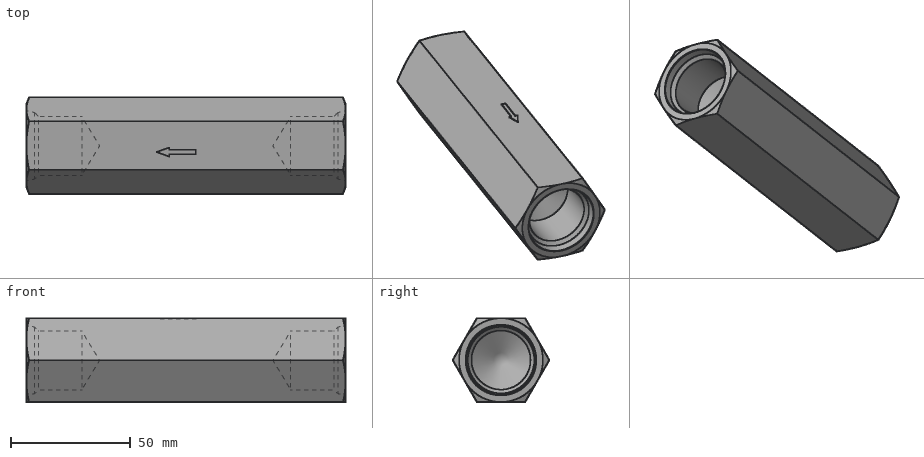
import cadquery as cq
import math

length = 133.35
across_flats = 35.05
across_corners = across_flats / math.cos(math.radians(30))

chamfer_face_diameter = across_flats
chamfer_depth = 1.1

edge_break = 0.2
seat_mouth_diameter = 29.2
seat_inner_diameter = 27.8
seat_depth = 3.3
bore_diameter = 24.69
lead_in_depth = (seat_inner_diameter - bore_diameter) / 2
bore_depth = 23.0
drill_point_angle = 118.0

arrow_tip_x = -12.3
arrow_length = 16.3
arrow_y = -2.7
arrow_head_length = 5.3
arrow_head_width = 3.8
arrow_shaft_width = 1.8
engraving_depth = 0.2


def at_both_ends(shape):
    """Return the shape made for the -X end together with its mirror image at the +X end."""
    return shape.union(shape.mirror("YZ"))


def hex_bar():
    """Hexagonal prism with flats facing up and down."""
    bar = cq.Workplane("YZ").polygon(6, across_corners).extrude(length / 2, both=True)
    return bar.intersect(corner_envelope())


def corner_envelope():
    """Round bar with chamfered ends that trims the corners of the hexagon."""
    corner_radius = across_corners / 2
    face_radius = chamfer_face_diameter / 2
    shoulder = length / 2 - chamfer_depth
    return (
        cq.Workplane("XY")
        .moveTo(-length / 2, 0)
        .lineTo(-length / 2, face_radius)
        .lineTo(-shoulder, corner_radius)
        .lineTo(shoulder, corner_radius)
        .lineTo(length / 2, face_radius)
        .lineTo(length / 2, 0)
        .close()
        .revolve(360, (0, 0, 0), (1, 0, 0))
    )


def port():
    """Cavity of the -X port, ending in a drill point on the axis."""
    face_x = -length / 2
    bore_radius = bore_diameter / 2
    point_depth = bore_radius / math.tan(math.radians(drill_point_angle / 2))
    return (
        cq.Workplane("XY")
        .moveTo(face_x, 0)
        .lineTo(face_x, seat_mouth_diameter / 2 + edge_break)
        .lineTo(face_x + edge_break, seat_mouth_diameter / 2)
        .lineTo(face_x + seat_depth, seat_inner_diameter / 2)
        .lineTo(face_x + seat_depth + lead_in_depth, bore_radius)
        .lineTo(face_x + bore_depth, bore_radius)
        .lineTo(face_x + bore_depth + point_depth, 0)
        .close()
        .revolve(360, (0, 0, 0), (1, 0, 0))
    )


def flow_arrow():
    """Shallow arrow-shaped cutter sunk into the top flat."""
    neck_x = arrow_head_length
    half_head = arrow_head_width / 2
    half_shaft = arrow_shaft_width / 2
    return (
        cq.Workplane("XY", origin=(arrow_tip_x, arrow_y, across_flats / 2))
        .polyline([
            (0, 0),
            (neck_x, half_head),
            (neck_x, half_shaft),
            (arrow_length, half_shaft),
            (arrow_length, -half_shaft),
            (neck_x, -half_shaft),
            (neck_x, -half_head),
        ])
        .close()
        .extrude(-engraving_depth)
    )


result = hex_bar().cut(at_both_ends(port())).cut(flow_arrow())